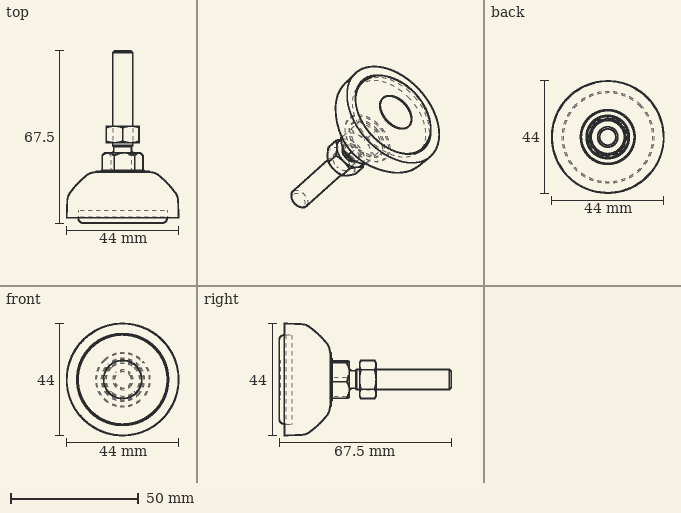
import cadquery as cq
import math


TOTAL_LENGTH = 67.5
RIM_Y = 2.0
DOME_TOP_Y = 20.0
BUSH_STEP = 0.4
HEX_BASE_Y = DOME_TOP_Y + 2 * BUSH_STEP
HEX_HEIGHT = 6.75
NECK_Y = HEX_BASE_Y + HEX_HEIGHT
NECK_LENGTH = 2.4
NUT_Y = 31.5
NUT_HEIGHT = 6.5

RIM_RADIUS = 22.0
RIM_DRAFT = 2.0
SHOULDER_Y = 10.4
TOP_EDGE_RADIUS = 12.55
CROWN_RADIUS = 34.95
SHOULDER_FILLET = 5.0
TOP_FILLET = 5.0
BORE_CHAMFER = 0.55

PAD_RADIUS = 17.5
PAD_THICKNESS = 5.0
PAD_FILLET = RIM_Y
RECESS_RADIUS = 7.5
RECESS_DEPTH = 0.4

BUSH_RADIUS = 10.7
BUSH_NECK_RADIUS = 8.5

SHANK_RADIUS = 4.0
SHANK_TIP_CHAMFER = 0.8
NECK_RADIUS = 3.5
NECK_CHAMFER_HEIGHT = 0.55
NECK_FILLET = 0.95
HEX_FLATS = 14.0
HEX_CHAMFER_ANGLE = 45.0
HEX_TURN = 5.7

NUT_FLATS = 12.95
NUT_CHAMFER_ANGLE = 30.0
NUT_TURN = 30.0


def disc(radius, start_y, height):
    """Cylinder on the Y axis, growing toward +Y from start_y."""
    return cq.Workplane("XZ", origin=(0, start_y, 0)).circle(radius).extrude(-height)


def revolved(profile):
    """Turn a closed (radius, Y) profile about the Y axis."""
    return profile.close().revolve(360, (0, 0, 0), (0, 1, 0))


def hexagon(flats, start_y, height, turn):
    """Hexagonal prism on the Y axis, its first corner turned from +X toward -Z."""
    corner_diameter = flats / math.cos(math.pi / 6)
    prism = cq.Workplane("XZ", origin=(0, start_y, 0)).polygon(6, corner_diameter).extrude(-height)
    return prism.rotate((0, 0, 0), (0, 1, 0), turn)


def corner_cutting_cone(flats, start_y, height, angle, both_ends):
    """Turned envelope that takes the corners off a hexagon, touching the middle of each flat."""
    end_radius = flats / 2
    wide_radius = flats
    drop = (wide_radius - end_radius) * math.tan(math.radians(angle))
    end_y = start_y + height
    upper = revolved(
        cq.Workplane("XY")
        .moveTo(0, end_y)
        .lineTo(end_radius, end_y)
        .lineTo(wide_radius, end_y - drop)
        .lineTo(wide_radius, start_y - drop)
        .lineTo(0, start_y - drop)
    )
    if not both_ends:
        return upper
    lower = upper.mirror("XZ").translate((0, start_y + end_y, 0))
    return upper.intersect(lower)


def chamfered_hexagon(flats, start_y, height, turn, angle, both_ends):
    """Hexagon whose corners are chamfered at the +Y end, or at both ends."""
    cone = corner_cutting_cone(flats, start_y, height, angle, both_ends)
    return hexagon(flats, start_y, height, turn).intersect(cone)


def make_dome():
    wall_lean = (SHOULDER_Y - RIM_Y) * math.tan(math.radians(RIM_DRAFT))
    dome = revolved(
        cq.Workplane("XY")
        .moveTo(0, RIM_Y)
        .lineTo(RIM_RADIUS, RIM_Y)
        .lineTo(RIM_RADIUS - wall_lean, SHOULDER_Y)
        .radiusArc((TOP_EDGE_RADIUS, DOME_TOP_Y), -CROWN_RADIUS)
        .lineTo(0, DOME_TOP_Y)
    )
    dome = dome.faces(">Y").edges().fillet(TOP_FILLET)
    shoulder = cq.selectors.NearestToPointSelector((0, SHOULDER_Y, 0))
    dome = dome.edges("%CIRCLE").edges(shoulder).fillet(SHOULDER_FILLET)

    bore = revolved(
        cq.Workplane("XY")
        .moveTo(0, RIM_Y)
        .lineTo(PAD_RADIUS + BORE_CHAMFER, RIM_Y)
        .lineTo(PAD_RADIUS, RIM_Y + BORE_CHAMFER)
        .lineTo(PAD_RADIUS, PAD_THICKNESS)
        .lineTo(0, PAD_THICKNESS)
    )
    return dome.cut(bore)


def make_pad():
    pad = disc(PAD_RADIUS, 0, PAD_THICKNESS).faces("<Y").edges().fillet(PAD_FILLET)
    return pad.cut(disc(RECESS_RADIUS, 0, RECESS_DEPTH))


def make_bush():
    step_y = DOME_TOP_Y + BUSH_STEP
    return revolved(
        cq.Workplane("XY")
        .moveTo(0, DOME_TOP_Y)
        .lineTo(BUSH_RADIUS, DOME_TOP_Y)
        .lineTo(BUSH_RADIUS - BUSH_STEP, step_y)
        .lineTo(BUSH_NECK_RADIUS, step_y)
        .lineTo(BUSH_NECK_RADIUS - BUSH_STEP, HEX_BASE_Y)
        .lineTo(0, HEX_BASE_Y)
    )


def make_stud():
    shank_y = NECK_Y + NECK_LENGTH
    fillet_middle = NECK_FILLET * (1 - math.sqrt(0.5))
    shank = revolved(
        cq.Workplane("XY")
        .moveTo(0, NECK_Y)
        .lineTo(NECK_RADIUS + NECK_FILLET, NECK_Y)
        .threePointArc(
            (NECK_RADIUS + fillet_middle, NECK_Y + fillet_middle),
            (NECK_RADIUS, NECK_Y + NECK_FILLET),
        )
        .lineTo(NECK_RADIUS, shank_y)
        .lineTo(SHANK_RADIUS, shank_y + NECK_CHAMFER_HEIGHT)
        .lineTo(SHANK_RADIUS, TOTAL_LENGTH - SHANK_TIP_CHAMFER)
        .lineTo(SHANK_RADIUS - SHANK_TIP_CHAMFER, TOTAL_LENGTH)
        .lineTo(0, TOTAL_LENGTH)
    )
    wrench_hex = chamfered_hexagon(
        HEX_FLATS, HEX_BASE_Y, HEX_HEIGHT, HEX_TURN, HEX_CHAMFER_ANGLE, both_ends=False
    )
    return wrench_hex.union(shank)


def make_nut():
    nut = chamfered_hexagon(NUT_FLATS, NUT_Y, NUT_HEIGHT, NUT_TURN, NUT_CHAMFER_ANGLE, both_ends=True)
    return nut.cut(disc(SHANK_RADIUS, NUT_Y, NUT_HEIGHT))


dome = make_dome()
pad = make_pad()
bush = make_bush()
stud = make_stud()
nut = make_nut()

result = cq.Compound.makeCompound([dome.val(), pad.val(), bush.val(), stud.val(), nut.val()])